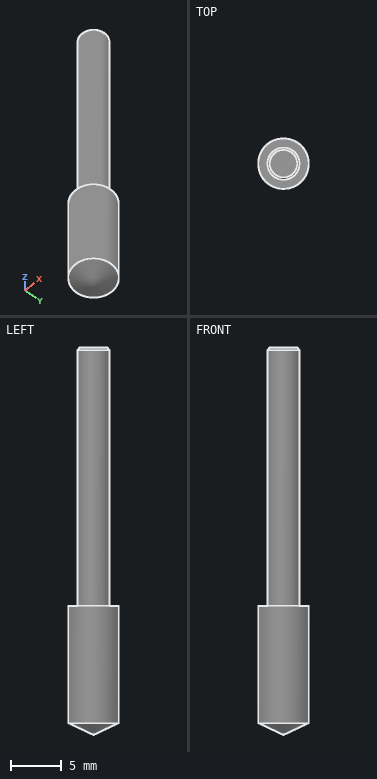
import cadquery as cq

total_length = 38.1
head_diameter = 5.0
head_length = 12.7
tip_height = 1.2
shank_diameter = 3.15
chamfer_width = 0.23
chamfer_height = 0.3

head_radius = head_diameter / 2
shank_radius = shank_diameter / 2


def revolve_profile(points):
    """Turn a closed half profile of (radius, height) points about the Z axis."""
    return cq.Workplane("XZ").polyline(points).close().revolve(360, (0, 0, 0), (0, 1, 0))


def make_head():
    """Cylindrical head with a conical tip pointing down."""
    return revolve_profile([
        (0, 0),
        (head_radius, tip_height),
        (head_radius, head_length),
        (0, head_length),
    ])


def make_shank():
    """Round shank standing on the flat shoulder of the head, chamfered at its free end."""
    return revolve_profile([
        (0, head_length),
        (shank_radius, head_length),
        (shank_radius, total_length - chamfer_height),
        (shank_radius - chamfer_width, total_length),
        (0, total_length),
    ])


head = make_head()
shank = make_shank()

result = cq.Compound.makeCompound([head.val(), shank.val()])